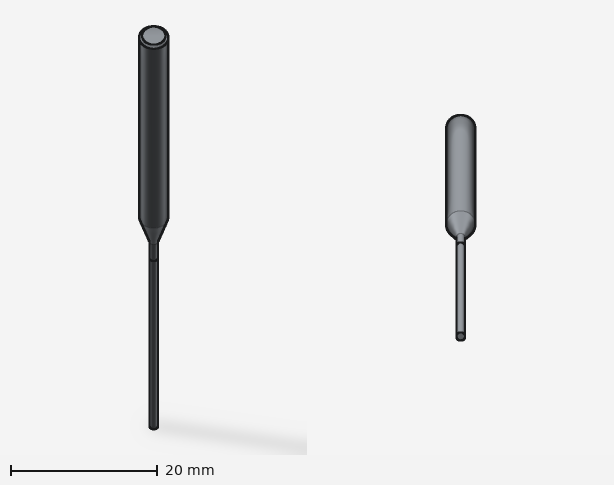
import cadquery as cq
import math

overall_length = 84.0
shank_diameter = 4.0
shank_length = 39.0
shank_chamfer = 0.4

stem_diameter = 1.2
cutter_length = 36.2
cone_half_angle = 15.0

shank_radius = shank_diameter / 2
stem_radius = stem_diameter / 2

shank_bottom = overall_length - shank_length
cone_height = (shank_radius - stem_radius) / math.tan(math.radians(cone_half_angle))
neck_top = shank_bottom - cone_height


def make_shank():
    """Chamfered cylindrical shank with its conical taper and thin neck, as one turned body."""
    profile = (
        cq.Workplane("YZ")
        .moveTo(0, cutter_length)
        .lineTo(-stem_radius, cutter_length)
        .lineTo(-stem_radius, neck_top)
        .lineTo(-shank_radius, shank_bottom)
        .lineTo(-shank_radius, overall_length - shank_chamfer)
        .lineTo(-shank_radius + shank_chamfer, overall_length)
        .lineTo(0, overall_length)
        .close()
    )
    return profile.revolve(360, (0, 0), (0, 1))


def make_cutter():
    """Plain cylindrical cutting end that butts against the underside of the neck."""
    profile = (
        cq.Workplane("YZ")
        .moveTo(0, 0)
        .lineTo(-stem_radius, 0)
        .lineTo(-stem_radius, cutter_length)
        .lineTo(0, cutter_length)
        .close()
    )
    return profile.revolve(360, (0, 0), (0, 1))


shank = make_shank()
cutter = make_cutter()

result = cq.Compound.makeCompound([shank.val(), cutter.val()])